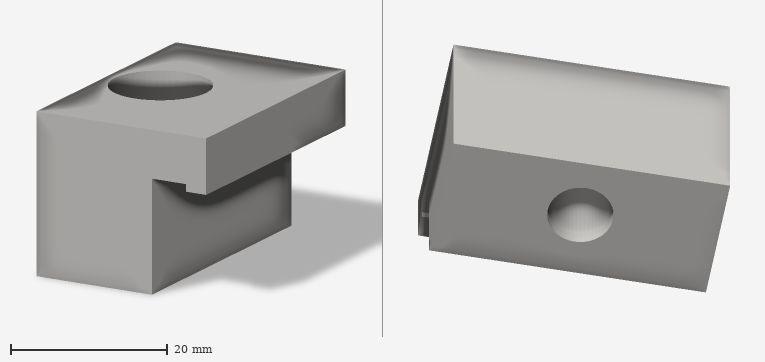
import cadquery as cq

width = 25.0
length = 36.0
height = 22.0

body_width = 17.0
arm_thickness = 6.5
lip_width = 3.0
lip_drop = 1.0

hole_diameter = 8.5
counterbore_diameter = 13.5
counterbore_depth = 5.5
hole_x = 8.0
hole_y = length / 2

arm_bottom = height - arm_thickness
lip_bottom = arm_bottom - lip_drop
lip_start = width - lip_width


def clamp_block():
    """Constant profile in XZ, extruded along +Y."""
    profile = [
        (0, 0),
        (body_width, 0),
        (body_width, arm_bottom),
        (lip_start, arm_bottom),
        (lip_start, lip_bottom),
        (width, lip_bottom),
        (width, height),
        (0, height),
    ]
    return cq.Workplane("XZ").polyline(profile).close().extrude(-length)


result = (
    clamp_block()
    .faces(">Z")
    .workplane(origin=(hole_x, hole_y, height))
    .cboreHole(hole_diameter, counterbore_diameter, counterbore_depth)
)